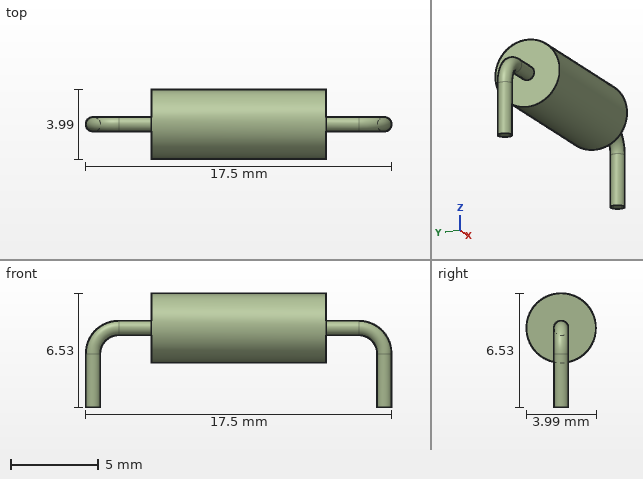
import cadquery as cq

body_length = 10.0
body_diameter = 3.99

lead_diameter = 0.84
overall_length = 17.5
overall_height = 6.53
bend_radius = 1.46

body_end_x = body_length / 2
leg_x = (overall_length - lead_diameter) / 2
bend_start_x = leg_x - bend_radius
leg_bottom_z = body_diameter / 2 - overall_height


def make_body():
    """Plain cylinder lying along X, centred on the origin."""
    return (
        cq.Workplane("YZ")
        .workplane(offset=-body_end_x)
        .circle(body_diameter / 2)
        .extrude(body_length)
    )


def make_lead(side):
    """Round wire leaving one end face and bending down; side is -1 or +1 along X."""
    centreline = (
        cq.Workplane("XZ")
        .moveTo(side * body_end_x, 0)
        .lineTo(side * bend_start_x, 0)
        .tangentArcPoint((side * leg_x, -bend_radius), relative=False)
        .lineTo(side * leg_x, leg_bottom_z)
    )
    return (
        cq.Workplane("YZ", origin=(side * body_end_x, 0, 0))
        .circle(lead_diameter / 2)
        .sweep(centreline)
    )


body = make_body()
leads = [make_lead(side) for side in (-1, 1)]

result = cq.Compound.makeCompound([body.val(), *[lead.val() for lead in leads]])